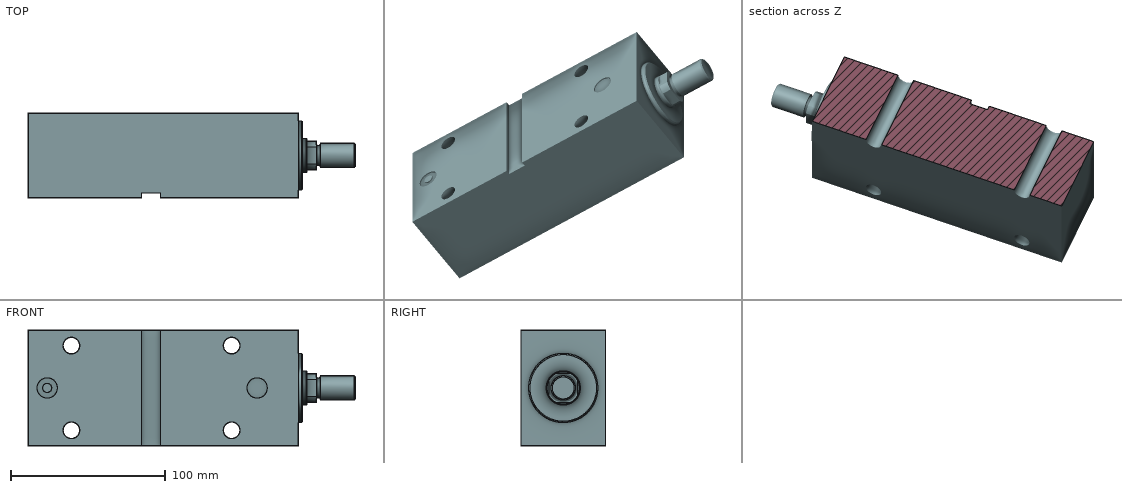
import cadquery as cq

block_length = 175.1
block_depth = 55.0
block_height = 75.0
front_y = -block_depth / 2

screw_hole_diameter = 10.5
screw_hole_first_x = 28.0
screw_hole_spacing_x = 103.9
screw_hole_spacing_z = 55.0

keyway_start_x = 73.5
keyway_width = 12.0
keyway_depth = 3.0

port_diameter = 13.1
port_depth = 0.8
port_x_positions = [12.3, 148.5]
plug_port_x = port_x_positions[0]
plug_diameter = 6.0

gland_diameter = 45.0
gland_thickness = 2.8
gland_chamfer = 0.8

rod_diameter = 22.3
rod_end_x = 180.8
rod_chamfer = 0.6
wrench_diameter = 21.6
wrench_across_flats = 18.7
wrench_end_x = 186.8
neck_diameter = 13.1
neck_end_x = 189.3
neck_fillet = 0.6
thread_diameter = 16.0
thread_chamfer = 0.8
tip_x = 212.0


def cylinder_x(start_x, end_x, diameter):
    """Cylinder on the X axis between two X positions."""
    return cq.Workplane("YZ", origin=(start_x, 0, 0)).circle(diameter / 2).extrude(end_x - start_x)


def front_cylinder(x, diameter, depth):
    """Cylinder at height Z = 0 that starts at the front face and goes inward."""
    return cq.Workplane("XZ", origin=(x, front_y, 0)).circle(diameter / 2).extrude(-depth)


def make_housing():
    block = cq.Workplane("XY").box(block_length, block_depth, block_height, centered=(False, True, True))

    screw_hole_mid_x = screw_hole_first_x + screw_hole_spacing_x / 2
    screw_holes = (
        cq.Workplane("XZ", origin=(screw_hole_mid_x, front_y, 0))
        .rarray(screw_hole_spacing_x, screw_hole_spacing_z, 2, 2)
        .circle(screw_hole_diameter / 2)
        .extrude(-block_depth)
    )
    block = block.cut(screw_holes)

    keyway = (
        cq.Workplane("XY", origin=(keyway_start_x, front_y, 0))
        .box(keyway_width, keyway_depth, block_height, centered=(False, False, True))
    )
    block = block.cut(keyway)

    for port_x in port_x_positions:
        block = block.cut(front_cylinder(port_x, port_diameter, port_depth))
    return block


def make_port_plug():
    """Round plug standing on the floor of the left port, flush with the front face."""
    return front_cylinder(plug_port_x, plug_diameter, port_depth)


def make_gland():
    """Chamfered disc on the block end, bored for the rod."""
    gland_end_x = block_length + gland_thickness
    disc = cylinder_x(block_length, gland_end_x, gland_diameter).faces(">X").chamfer(gland_chamfer)
    return disc.cut(cylinder_x(block_length, gland_end_x, rod_diameter))


def make_rod():
    """Rod with four wrench flats, an undercut neck and a plain cylindrical thread end."""
    shaft = cylinder_x(block_length, rod_end_x, rod_diameter).faces(">X").chamfer(rod_chamfer)

    wrench_length = wrench_end_x - rod_end_x
    square = (
        cq.Workplane("YZ", origin=(rod_end_x, 0, 0))
        .rect(wrench_across_flats, wrench_across_flats)
        .extrude(wrench_length)
    )
    wrench_section = cylinder_x(rod_end_x, wrench_end_x, wrench_diameter).intersect(square)

    neck = cylinder_x(wrench_end_x, neck_end_x, neck_diameter)
    thread = cylinder_x(neck_end_x, tip_x, thread_diameter).faces(">X").chamfer(thread_chamfer)
    blank = shaft.union(wrench_section).union(neck).union(thread)

    neck_circles = blank.edges(cq.selectors.RadiusNthSelector(0))
    return neck_circles.fillet(neck_fillet)


housing = make_housing()
port_plug = make_port_plug()
gland = make_gland()
rod = make_rod()

result = cq.Compound.makeCompound([housing.val(), port_plug.val(), gland.val(), rod.val()])